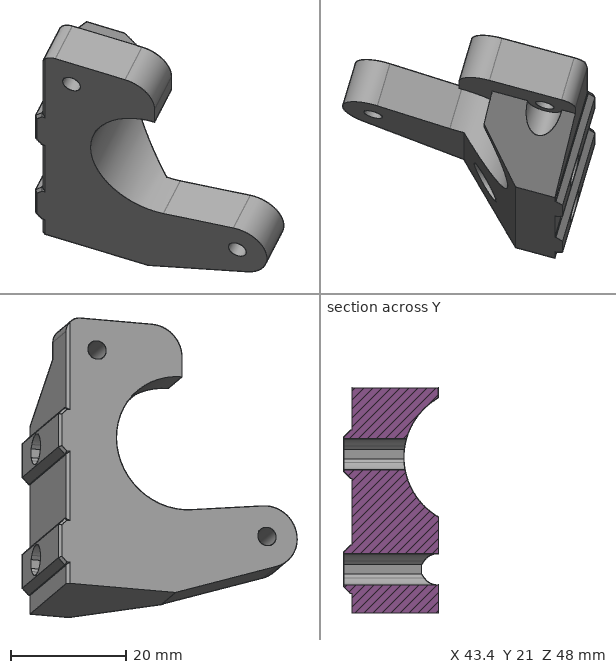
import cadquery as cq
import math


height = 48.0
plate_depth = 8.0
plate_right = 21.0
corner_radius = 2.5
lug_radius = 5.5
pin_diameter = 3.3
pin_x = lug_radius
pin_z = height - lug_radius
face_chamfer = 0.6
front_chamfer_depth = 0.45

cradle_radius = 11.95
cradle_z = 27.0

arm_x = 36.5
arm_z = 11.5
arm_start_x = 19.8

total_depth = 21.0
gusset_back_width = 7.1
gusset_root_width = gusset_back_width + total_depth - plate_depth
gusset_top_width = 15.0
roof_low_z = 33.8
roof_high_z = pin_z
head_diameter = 6.2

rail_centres = (7.6, 27.55)
rail_height = 1.4
rail_slope = 1.2
rail_base_half = 4.2
rail_top_half = rail_base_half - rail_slope
rail_root = 0.95
rail_chamfer = 0.5
bolt_radius = 2.7
crown_angle = math.radians(33)
bolt_y = 13.3


def along_y(start, end):
    """XZ workplane at Y = start and the extrusion length that ends at Y = end."""
    return cq.Workplane("XZ", origin=(0, start, 0)), start - end


def polar(x, z, radius, angle):
    return (x + radius * math.cos(angle), z + radius * math.sin(angle))


def make_plate():
    span = math.hypot(arm_x - plate_right, arm_z - cradle_z)
    bearing = math.atan2(arm_z - cradle_z, arm_x - plate_right)
    cradle_angle = bearing - math.acos((cradle_radius + lug_radius) / span)
    arm_top = polar(arm_x, arm_z, lug_radius, cradle_angle + math.pi)
    cradle_end = polar(plate_right, cradle_z, cradle_radius, cradle_angle)

    lower_span = math.hypot(arm_x - arm_start_x, arm_z)
    lower_bearing = math.atan2(arm_z, arm_x - arm_start_x)
    lower_slope = lower_bearing - math.asin(lug_radius / lower_span)
    arm_bottom = polar(arm_x, arm_z, lug_radius, lower_slope - math.pi / 2)

    diagonal = math.sqrt(0.5)
    plane, length = along_y(0, plate_depth)
    return (
        plane.moveTo(0, 0)
        .lineTo(arm_start_x, 0)
        .lineTo(*arm_bottom)
        .threePointArc((arm_x + lug_radius, arm_z), arm_top)
        .lineTo(*cradle_end)
        .lineTo(plate_right, cradle_z)
        .lineTo(plate_right, height - lug_radius)
        .threePointArc(
            (plate_right - lug_radius * (1 - diagonal), height - lug_radius * (1 - diagonal)),
            (plate_right - lug_radius, height),
        )
        .lineTo(corner_radius, height)
        .threePointArc(
            (corner_radius * (1 - diagonal), height - corner_radius * (1 - diagonal)),
            (0, height - corner_radius),
        )
        .close()
        .extrude(length)
    )


def make_gusset():
    block = (
        cq.Workplane("XY")
        .polyline([
            (0, plate_depth),
            (gusset_root_width, plate_depth),
            (gusset_back_width, total_depth),
            (0, total_depth),
        ])
        .close()
        .extrude(height)
    )
    roof_profile = (
        cq.Workplane("YZ")
        .polyline([
            (plate_depth, 0),
            (total_depth, 0),
            (total_depth, roof_low_z),
            (plate_depth, roof_high_z),
        ])
        .close()
        .extrude(gusset_root_width)
    )
    upper_relief = cq.Workplane("XY").box(
        gusset_root_width - gusset_top_width, total_depth - plate_depth, height - cradle_z, centered=False
    ).translate((gusset_top_width, plate_depth, cradle_z))
    plane, length = along_y(plate_depth, total_depth)
    head_clearance = plane.center(pin_x, pin_z).circle(head_diameter / 2).extrude(length)
    return block.intersect(roof_profile).cut(upper_relief).cut(head_clearance)


def make_rail(centre_z):
    """Rail with sloped flanks, a short upright base and a chamfered front end."""
    base_x = rail_slope - rail_height
    plane, length = along_y(0, total_depth)
    return (
        plane.polyline([
            (rail_root, centre_z - rail_base_half),
            (base_x, centre_z - rail_base_half),
            (-rail_height, centre_z - rail_top_half),
            (-rail_height, centre_z + rail_top_half),
            (base_x, centre_z + rail_base_half),
            (rail_root, centre_z + rail_base_half),
        ])
        .close()
        .extrude(length)
        .faces("<Y")
        .edges("not(>X)")
        .chamfer(rail_chamfer)
    )


def make_bolt_hole(centre_z):
    """Hole along X with a three-sided crown of tangent flats on its +Y side."""
    tangent_y = bolt_radius * math.cos(crown_angle)
    tangent_z = bolt_radius * math.sin(crown_angle)
    flat_half = bolt_radius * math.tan(crown_angle / 2)
    return (
        cq.Workplane("YZ", origin=(-rail_height, bolt_y, centre_z))
        .moveTo(tangent_y, tangent_z)
        .threePointArc((-bolt_radius, 0), (tangent_y, -tangent_z))
        .lineTo(bolt_radius, -flat_half)
        .lineTo(bolt_radius, flat_half)
        .close()
        .extrude(rail_height + gusset_root_width)
    )


face_bevel = (
    cq.Workplane("XY")
    .polyline([(0, 0), (face_chamfer, 0), (0, front_chamfer_depth)])
    .close()
    .extrude(height)
)

cradle_plane, cradle_length = along_y(0, total_depth)
cradle = cradle_plane.center(plate_right, cradle_z).circle(cradle_radius).extrude(cradle_length)

result = make_plate().cut(face_bevel).union(make_gusset()).cut(cradle)
for rail_z in rail_centres:
    result = result.union(make_rail(rail_z))
for rail_z in rail_centres:
    result = result.cut(make_bolt_hole(rail_z))

for hole_x, hole_z in ((pin_x, pin_z), (arm_x, arm_z)):
    hole_plane, hole_length = along_y(0, plate_depth)
    result = result.cut(hole_plane.center(hole_x, hole_z).circle(pin_diameter / 2).extrude(hole_length))